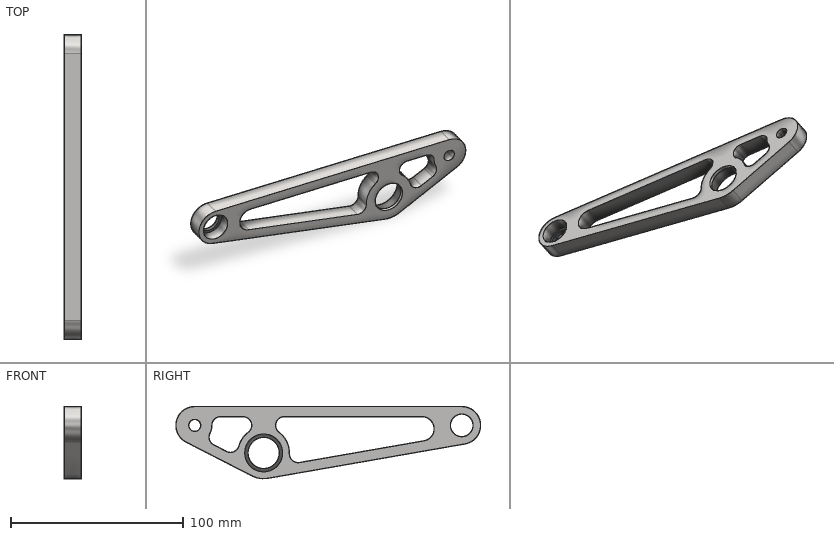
import math

import cadquery as cq

thickness = 10.0
end_radius = 11.0
bearing_boss_radius = 15.0
pivot_y = 115.0
tip_y = -40.0
ends_z = 16.0

pivot_bore_diameter = 16.0
pivot_hole_diameter = 13.0
pivot_lip = 2.5
bearing_bore_diameter = 22.0
bearing_hole_diameter = 18.0
bearing_lip = 2.0
tip_hole_diameter = 6.8

rail_width = 6.0
bearing_rim_radius = 15.0
tip_rim_radius = 10.0
pocket_corner_radius = 5.0
pocket_end_radius = 7.0

BEARING = (0.0, 0.0)
PIVOT = (pivot_y, ends_z)
TIP = (tip_y, ends_z)
top_z = ends_z + end_radius
pocket_top_z = top_z - rail_width
lower_reach = bearing_boss_radius - rail_width


def point_from(centre, direction, distance):
    return centre[0] + direction[0] * distance, centre[1] + direction[1] * distance


def lower_edge(end):
    """Unit normal (pointing out of the arm) and unit direction (toward the end) of a lower edge.

    The edge is the common tangent of the bearing boss and the round end.
    """
    end_y, end_z = end
    lean = math.acos((bearing_boss_radius - end_radius) / math.hypot(end_y, end_z))
    angle = math.atan2(end_z, end_y) - math.copysign(lean, end_y)
    normal = (math.cos(angle), math.sin(angle))
    side = math.copysign(1.0, end_y)
    return normal, (-side * normal[1], side * normal[0])


def cylinder(centre, diameter, start=0.0, end=thickness):
    base = cq.Workplane("YZ", origin=(start, *centre))
    return base.circle(diameter / 2).extrude(end - start)


def make_plate():
    pivot_normal, _ = lower_edge(PIVOT)
    tip_normal, _ = lower_edge(TIP)
    return (
        cq.Workplane("YZ")
        .moveTo(tip_y, top_z)
        .lineTo(pivot_y, top_z)
        .threePointArc((pivot_y + end_radius, ends_z), point_from(PIVOT, pivot_normal, end_radius))
        .lineTo(*point_from(BEARING, pivot_normal, bearing_boss_radius))
        .threePointArc((0, -bearing_boss_radius), point_from(BEARING, tip_normal, bearing_boss_radius))
        .lineTo(*point_from(TIP, tip_normal, end_radius))
        .threePointArc((tip_y - end_radius, ends_z), (tip_y, top_z))
        .close()
        .extrude(thickness)
    )


def bearing_side_outline(end):
    """Open pocket outline from the top rail, round the bearing rim, to the lower rail.

    A corner arc touches the top rail and runs smoothly into the bearing rim.
    """
    side = math.copysign(1.0, end[0])
    corner_z = pocket_top_z - pocket_corner_radius
    corner_distance = bearing_rim_radius + pocket_corner_radius
    corner_y = side * math.sqrt(corner_distance**2 - corner_z**2)
    toward_corner = (corner_y / corner_distance, corner_z / corner_distance)

    normal, along = lower_edge(end)
    foot_along = math.sqrt(bearing_rim_radius**2 - lower_reach**2)
    foot = point_from(point_from(BEARING, normal, lower_reach), along, foot_along)
    return (
        cq.Workplane("YZ")
        .moveTo(corner_y, pocket_top_z)
        .threePointArc(
            (corner_y - side * pocket_corner_radius, corner_z),
            point_from(BEARING, toward_corner, bearing_rim_radius),
        )
        .threePointArc((side * bearing_rim_radius, 0), foot)
    )


def round_corners(pocket, selector, radius):
    return pocket.edges("|X").edges(selector).fillet(radius)


def make_pivot_pocket():
    """Long pocket whose rails meet at a rounded point near the pivot."""
    normal, along = lower_edge(PIVOT)
    start = point_from(BEARING, normal, lower_reach)
    apex = point_from(start, along, (pocket_top_z - start[1]) / along[1])
    pocket = bearing_side_outline(PIVOT).lineTo(*apex).close().extrude(thickness)
    pocket = round_corners(pocket, ">Y", pocket_end_radius)
    return round_corners(pocket, "<Z", pocket_corner_radius)


def make_tip_pocket():
    """Short pocket closed by a rim concentric with the tip hole."""
    normal, along = lower_edge(TIP)
    rail_reach = end_radius - rail_width
    half_chord = math.sqrt(tip_rim_radius**2 - rail_reach**2)
    rim_bottom = point_from(point_from(TIP, normal, rail_reach), along, -half_chord)
    rim_top = (tip_y + half_chord, pocket_top_z)
    pocket = (
        bearing_side_outline(TIP)
        .lineTo(*rim_bottom)
        .threePointArc((tip_y + tip_rim_radius, ends_z), rim_top)
        .close()
        .extrude(thickness)
    )
    for corner in (rim_top, rim_bottom):
        nearest = cq.selectors.NearestToPointSelector((thickness / 2, *corner))
        pocket = round_corners(pocket, nearest, pocket_corner_radius)
    return round_corners(pocket, "<Z", pocket_corner_radius)


def make_pivot_hole():
    bore = cylinder(PIVOT, pivot_bore_diameter, end=thickness - pivot_lip)
    return cylinder(PIVOT, pivot_hole_diameter).union(bore)


def make_bearing_hole():
    bore = cylinder(BEARING, bearing_bore_diameter, start=bearing_lip)
    return cylinder(BEARING, bearing_hole_diameter).union(bore)


result = (
    make_plate()
    .cut(make_pivot_pocket())
    .cut(make_tip_pocket())
    .cut(make_pivot_hole())
    .cut(make_bearing_hole())
    .cut(cylinder(TIP, tip_hole_diameter))
)